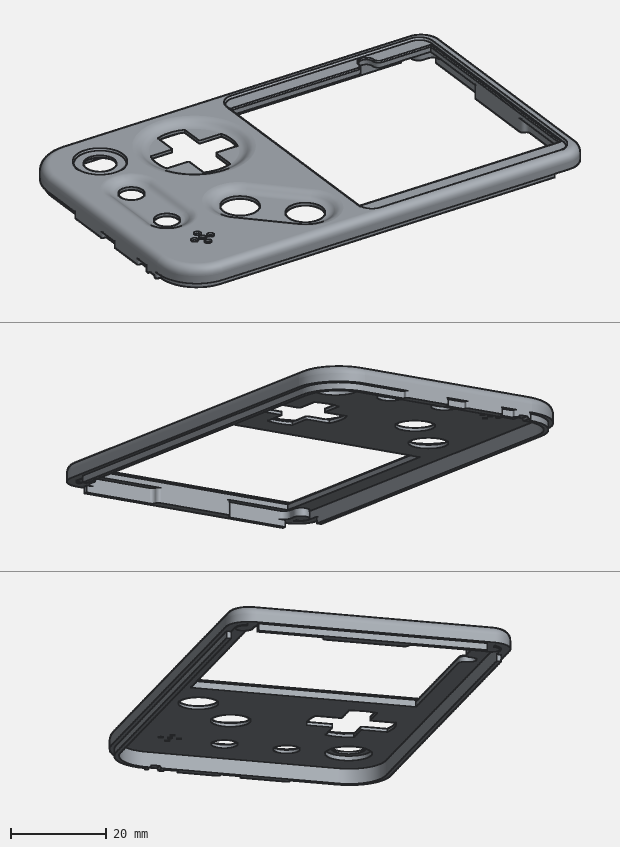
import cadquery as cq
import math

WIDTH = 62.0
LENGTH = 102.0
HEIGHT = 5.3
TOP_CORNER_RADIUS = 5.0
BOTTOM_CORNER_RADIUS = 10.0
EDGE_FILLET = 2.0
FACE_THICKNESS = 2.0
FACE_UNDERSIDE = HEIGHT - FACE_THICKNESS

LIP_HEIGHT = 1.5
LIP_INSET = 1.0
LIP_THICKNESS = 1.0
CAVITY_INSET = LIP_INSET + LIP_THICKNESS
LIP_GAP_START_Y = 43.0
UPPER_LIP_END_X = 25.0

LOWER_TABS = [(-10.3, -0.3), (4.9, 13.4), (17.1, 20.5)]
LOWER_TAB_RAMP = 0.65
MICROPHONE_NOTCH_WIDTH = 2.5
MICROPHONE_NOTCH_HEIGHT = 0.5
MICROPHONE_NOTCH_SLOPE = 0.4

UPPER_TAB = (-7.3, 9.5)
UPPER_TAB_RAMP = 1.8
UPPER_TAB_DEPTH = 1.5

POST_X = 27.0
POST_Y = 46.0
POST_DIAMETER = 3.6
POST_BLEND = 1.7

WINDOW_HALF_WIDTH = 24.6
WINDOW_BOTTOM = -2.85
WINDOW_TOP = 47.5
WINDOW_CHAMFER = 0.3
RECESS_SLOPE = 0.35
RECESS_HALF_WIDTH = 28.7
RECESS_BOTTOM = WINDOW_BOTTOM - RECESS_SLOPE
RECESS_TOP = 48.5
RECESS_DEPTH = 0.5
RECESS_CORNER_RADIUS = 3.3

NOTCH_Y = 32.3
NOTCH_RADIUS = 1.6
NOTCH_MOUTH_RADIUS = 1.5

DISH_DEPTH = 1.25
DISH_SLOPE_WIDTH = 3.5

DPAD_CENTER = (-14.9, -18.2)
DPAD_DISH_RADIUS = 13.0
DPAD_CLIP_RADIUS = 9.4
DPAD_UPRIGHT_WIDTH = 6.2
DPAD_CROSSBAR_WIDTH = 6.7
DPAD_INNER_FILLET = 0.3

ACTION_CENTERS = [(10.1, -23.0), (20.0, -13.1)]
ACTION_DISH_RADIUS = 8.0
ACTION_HOLE = 8.4

MENU_CENTERS = [(-6.8, -39.2), (6.8, -39.2)]
MENU_DISH_RADIUS = 6.5
MENU_HOLE = 5.6

ROUND_BUTTON_CENTER = (-20.1, -38.4)
ROUND_BUTTON_HOLE = 7.0
ROUND_BUTTON_TOP = 11.5
ROUND_BUTTON_FLOOR = 11.0
ROUND_BUTTON_DEPTH = 0.5
ROUND_BUTTON_RELIEF = 9.9
ROUND_BUTTON_FLOOR_THICKNESS = 0.5

SPEAKER_CENTER = (19.0, -38.2)
SPEAKER_PITCH = 2.0
SPEAKER_HOLE = 1.0
SPEAKER_COUNTERSINK = 1.62

NEARLY_FULL = 0.99


def rounded_outline(inset, z):
    """Shell outline moved inward by inset, with smaller radii at the +Y end."""
    half_x = WIDTH / 2 - inset
    half_y = LENGTH / 2 - inset
    low = BOTTOM_CORNER_RADIUS - inset
    high = TOP_CORNER_RADIUS - inset
    return (
        cq.Workplane("XY", origin=(0, 0, z))
        .moveTo(-half_x + low, -half_y)
        .lineTo(half_x - low, -half_y)
        .radiusArc((half_x, -half_y + low), -low)
        .lineTo(half_x, half_y - high)
        .radiusArc((half_x - high, half_y), -high)
        .lineTo(-half_x + high, half_y)
        .radiusArc((-half_x, half_y - high), -high)
        .lineTo(-half_x, -half_y + low)
        .radiusArc((-half_x + low, -half_y), -low)
        .close()
    )


def box(x_range, y_range, z_range):
    """Box spanning the given (low, high) ranges."""
    (x0, x1), (y0, y1), (z0, z1) = x_range, y_range, z_range
    return cq.Workplane("XY").box(x1 - x0, y1 - y0, z1 - z0, centered=False).translate((x0, y0, z0))


def s_curve(path, start, end):
    """Extend path by two equal tangent arcs that leave and arrive along the local X direction."""
    mid = ((start[0] + end[0]) / 2, (start[1] + end[1]) / 2)
    run = abs(mid[0] - start[0])
    rise = abs(mid[1] - start[1])
    radius = (run**2 + rise**2) / (2 * rise)
    turn = math.copysign(1, (end[0] - start[0]) * (end[1] - start[1]))
    return path.radiusArc(mid, -turn * radius).radiusArc(end, turn * radius)


def wall_tab(x_range, ramp, root_y, tip_y, back_y, height):
    """Tab rising from root_y to tip_y along a wall, with S-shaped ends."""
    x0, x1 = x_range
    path = cq.Workplane("XY").moveTo(x0 - ramp, back_y).lineTo(x0 - ramp, root_y)
    path = s_curve(path, (x0 - ramp, root_y), (x0, tip_y)).lineTo(x1, tip_y)
    path = s_curve(path, (x1, tip_y), (x1 + ramp, root_y)).lineTo(x1 + ramp, back_y)
    return path.close().extrude(height)


def make_shell():
    """Filleted tray with a hollow underside and an inset lip that is open at the upper corners."""
    body = rounded_outline(0, LIP_HEIGHT).extrude(HEIGHT - LIP_HEIGHT)
    body = body.faces(">Z").edges().fillet(EDGE_FILLET)
    lip = rounded_outline(LIP_INSET, 0).extrude(LIP_HEIGHT)
    half_x = WIDTH / 2
    for side in (-1, 1):
        x_range = sorted((side * UPPER_LIP_END_X, side * half_x))
        lip = lip.cut(box(x_range, (LIP_GAP_START_Y, LENGTH / 2), (0, LIP_HEIGHT)))
    cavity = rounded_outline(CAVITY_INSET, 0).extrude(FACE_UNDERSIDE)
    return body.union(lip).cut(cavity)


def add_wall_tabs(part):
    """Outer tabs on the -Y wall and one inner tab on the +Y wall."""
    half_y = LENGTH / 2
    for x_range in LOWER_TABS:
        tab = wall_tab(
            x_range, LOWER_TAB_RAMP, LIP_INSET - half_y, -half_y, CAVITY_INSET - half_y, LIP_HEIGHT
        )
        part = part.union(tab)
    root_y = half_y - CAVITY_INSET
    upper_tab = wall_tab(
        UPPER_TAB, UPPER_TAB_RAMP, root_y, root_y - UPPER_TAB_DEPTH, half_y - LIP_INSET, FACE_UNDERSIDE
    )
    return part.union(upper_tab)


def add_corner_posts(part):
    """Round posts hanging from the face, each blended into the upper wall by a concave web."""
    wall_y = LENGTH / 2 - CAVITY_INSET
    web_x = POST_X - POST_DIAMETER / 2
    web = (
        cq.Workplane("XY", origin=(0, 0, LIP_HEIGHT))
        .moveTo(POST_X, wall_y)
        .lineTo(web_x - POST_BLEND, wall_y)
        .radiusArc((web_x, wall_y - POST_BLEND), POST_BLEND)
        .lineTo(web_x, POST_Y)
        .lineTo(POST_X, POST_Y)
        .close()
        .extrude(FACE_UNDERSIDE - LIP_HEIGHT)
    )
    posts = (
        cq.Workplane("XY", origin=(0, 0, LIP_HEIGHT))
        .pushPoints([(-POST_X, POST_Y), (POST_X, POST_Y)])
        .circle(POST_DIAMETER / 2)
        .extrude(FACE_UNDERSIDE - LIP_HEIGHT)
    )
    return part.union(posts).union(web).union(web.mirror("YZ"))


def cut_microphone_notch(part):
    """Trapezoid notch through the lower lip, in line with the speaker holes."""
    half_base = MICROPHONE_NOTCH_WIDTH / 2
    half_top = half_base - MICROPHONE_NOTCH_SLOPE
    notch = (
        cq.Workplane("XZ", origin=(SPEAKER_CENTER[0], -LENGTH / 2, 0))
        .moveTo(-half_base, 0)
        .lineTo(-half_top, MICROPHONE_NOTCH_HEIGHT)
        .lineTo(half_top, MICROPHONE_NOTCH_HEIGHT)
        .lineTo(half_base, 0)
        .close()
        .extrude(-CAVITY_INSET)
    )
    return part.cut(notch)


def cut_recess(part):
    """Shallow screen recess with sloping sides."""
    recess = box(
        (-RECESS_HALF_WIDTH, RECESS_HALF_WIDTH),
        (RECESS_BOTTOM, RECESS_TOP),
        (HEIGHT - RECESS_DEPTH, HEIGHT),
    )
    recess = recess.edges("|Z").fillet(RECESS_CORNER_RADIUS)
    recess = recess.faces("<Z").edges().chamfer(RECESS_DEPTH * NEARLY_FULL, RECESS_SLOPE)
    return part.cut(recess)


def window_prism(growth, z_range):
    """Window outline with its flared side notch, enlarged by growth on every side."""
    half_x = WINDOW_HALF_WIDTH + growth
    low_y = WINDOW_BOTTOM - growth
    high_y = WINDOW_TOP + growth
    tip = NOTCH_RADIUS + growth
    mouth = NOTCH_MOUTH_RADIUS - growth
    neck_x = -half_x - mouth
    return (
        cq.Workplane("XY", origin=(0, 0, z_range[0]))
        .moveTo(half_x, low_y)
        .lineTo(half_x, high_y)
        .lineTo(-half_x, high_y)
        .lineTo(-half_x, NOTCH_Y + tip + mouth)
        .radiusArc((neck_x, NOTCH_Y + tip), mouth)
        .threePointArc((neck_x - tip, NOTCH_Y), (neck_x, NOTCH_Y - tip))
        .radiusArc((-half_x, NOTCH_Y - tip - mouth), mouth)
        .lineTo(-half_x, low_y)
        .close()
        .extrude(z_range[1] - z_range[0])
    )


def cut_window(part):
    """Screen opening through the recess floor, chamfered on all sides but the lower one."""
    ledge = HEIGHT - RECESS_DEPTH
    opening = window_prism(0, (0, HEIGHT))
    rim = window_prism(WINDOW_CHAMFER, (ledge - WINDOW_CHAMFER, ledge))
    rim = rim.faces("<Z").edges().chamfer(WINDOW_CHAMFER * NEARLY_FULL)
    above_lower_edge = box((-WIDTH, WIDTH), (WINDOW_BOTTOM, LENGTH), (0, HEIGHT))
    return part.cut(rim.intersect(above_lower_edge)).cut(opening)


def dish_section(plane, radius):
    """Half section of a dish: flat floor, then an S-curve rising to the face."""
    floor_radius = radius - DISH_SLOPE_WIDTH
    floor = HEIGHT - DISH_DEPTH
    path = cq.Workplane(plane).moveTo(0, HEIGHT).lineTo(0, floor).lineTo(floor_radius, floor)
    return s_curve(path, (floor_radius, floor), (radius, HEIGHT)).close()


def round_dish(center, radius):
    """Cutter for a round dish."""
    dish = dish_section("XZ", radius).revolve(360, (0, 0, 0), (0, 1, 0))
    return dish.translate((*center, 0))


def cut_long_dish(part, centers, radius):
    """Cut an obround dish: two straight halves between two half-round ends."""
    (x0, y0), (x1, y1) = centers
    length = math.hypot(x1 - x0, y1 - y0)
    angle = math.degrees(math.atan2(y1 - y0, x1 - x0))
    half_trough = dish_section("YZ", radius).extrude(length)
    near_end = dish_section("YZ", radius).revolve(180, (0, 0, 0), (0, 1, 0))
    far_end = near_end.mirror("YZ").translate((length, 0, 0))
    for piece in (half_trough, half_trough.mirror("XZ"), near_end, far_end):
        part = part.cut(piece.rotate((0, 0, 0), (0, 0, 1), angle).translate((x0, y0, 0)))
    return part


def cut_holes(part, centers, diameter):
    """Round holes through the face."""
    holes = cq.Workplane("XY").pushPoints(centers).circle(diameter / 2).extrude(HEIGHT)
    return part.cut(holes)


def cut_dpad(part):
    """Dish with a cross opening whose arm ends follow a circle."""
    part = part.cut(round_dish(DPAD_CENTER, DPAD_DISH_RADIUS))
    reach = 2 * DPAD_DISH_RADIUS
    upright = cq.Workplane("XY").rect(DPAD_UPRIGHT_WIDTH, reach).extrude(HEIGHT)
    crossbar = cq.Workplane("XY").rect(reach, DPAD_CROSSBAR_WIDTH).extrude(HEIGHT)
    inner_corners = cq.selectors.BoxSelector(
        (-DPAD_CLIP_RADIUS / 2, -DPAD_CLIP_RADIUS / 2, 0),
        (DPAD_CLIP_RADIUS / 2, DPAD_CLIP_RADIUS / 2, HEIGHT),
    )
    cross = upright.union(crossbar).edges("|Z").edges(inner_corners).fillet(DPAD_INNER_FILLET)
    cross = cross.intersect(cq.Workplane("XY").circle(DPAD_CLIP_RADIUS).extrude(HEIGHT))
    return part.cut(cross.translate((*DPAD_CENTER, 0)))


def cut_round_button(part):
    """Tapered counterbore, through hole and a round relief under the thin floor."""
    counterbore = (
        cq.Workplane("XY", origin=(*ROUND_BUTTON_CENTER, HEIGHT - ROUND_BUTTON_DEPTH))
        .circle(ROUND_BUTTON_FLOOR / 2)
        .workplane(offset=ROUND_BUTTON_DEPTH)
        .circle(ROUND_BUTTON_TOP / 2)
        .loft()
    )
    relief_top = HEIGHT - ROUND_BUTTON_DEPTH - ROUND_BUTTON_FLOOR_THICKNESS
    relief = (
        cq.Workplane("XY", origin=(*ROUND_BUTTON_CENTER, 0))
        .circle(ROUND_BUTTON_RELIEF / 2)
        .extrude(relief_top)
    )
    return cut_holes(part.cut(counterbore).cut(relief), [ROUND_BUTTON_CENTER], ROUND_BUTTON_HOLE)


def cut_speaker(part):
    """Five countersunk speaker holes."""
    cx, cy = SPEAKER_CENTER
    steps = [(0, 0), (1, 0), (-1, 0), (0, 1), (0, -1)]
    centers = [(cx + i * SPEAKER_PITCH, cy + j * SPEAKER_PITCH) for i, j in steps]
    hole_radius = SPEAKER_HOLE / 2
    sink_radius = SPEAKER_COUNTERSINK / 2
    sink_depth = sink_radius - hole_radius
    for x, y in centers:
        base = cq.Vector(x, y, HEIGHT - sink_depth)
        cone = cq.Solid.makeCone(hole_radius, sink_radius, sink_depth, base)
        part = part.cut(cq.Workplane(cone))
    return cut_holes(part, centers, SPEAKER_HOLE)


result = make_shell()
result = add_wall_tabs(result)
result = add_corner_posts(result)
result = cut_microphone_notch(result)
result = cut_recess(result)
result = cut_window(result)
result = cut_dpad(result)
result = cut_long_dish(result, ACTION_CENTERS, ACTION_DISH_RADIUS)
result = cut_holes(result, ACTION_CENTERS, ACTION_HOLE)
result = cut_long_dish(result, MENU_CENTERS, MENU_DISH_RADIUS)
result = cut_holes(result, MENU_CENTERS, MENU_HOLE)
result = cut_round_button(result)
result = cut_speaker(result)